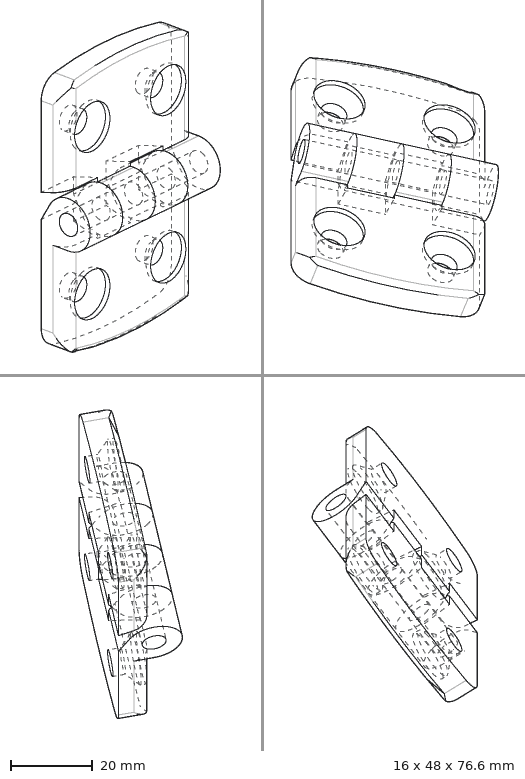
import cadquery as cq
import math

LENGTH = 76.6
WIDTH = 48.0
HALF_LENGTH = LENGTH / 2
HALF_WIDTH = WIDTH / 2

PLATE_THICKNESS = 7.8
END_ARC_RADIUS = 104.9
CORNER_RADIUS = 6.0
SIDE_FILLET = 4.0
END_FILLET = 1.4

HOLE_DIAMETER = 6.6
HEAD_DIAMETER = 13.0
HEAD_RECESS_DEPTH = 1.45
HOLE_Y = 14.0
HOLE_Z = 22.5

KNUCKLE_RADIUS = 7.05
PIN_DIAMETER = 6.0
PIN_X = 8.9
KNUCKLE_COUNT = 4
KNUCKLE_WIDTH = WIDTH / KNUCKLE_COUNT
KNUCKLE_SLOPE = math.radians(60)

SLOT_BACK_Z = 6.0
SLOT_FRONT_Z = 8.2


def arched_slab(thickness):
    """Slab on X = 0, from the pin axis down to an arched lower end."""
    sagitta = END_ARC_RADIUS - math.sqrt(END_ARC_RADIUS**2 - HALF_WIDTH**2)
    corner_z = -HALF_LENGTH + sagitta
    return (
        cq.Workplane("YZ")
        .moveTo(-HALF_WIDTH, 0)
        .lineTo(-HALF_WIDTH, corner_z)
        .threePointArc((0, -HALF_LENGTH), (HALF_WIDTH, corner_z))
        .lineTo(HALF_WIDTH, 0)
        .close()
        .extrude(thickness)
    )


def make_plate():
    """Plate with rounded corners, wide side fillets and a small end fillet that meet in mitres."""
    side_rounded = (
        cq.Workplane("XY")
        .box(PLATE_THICKNESS, WIDTH, HALF_LENGTH, centered=(False, True, False))
        .translate((0, 0, -HALF_LENGTH))
        .edges("|Z and >X")
        .fillet(SIDE_FILLET)
    )
    end_rounded = arched_slab(PLATE_THICKNESS).edges(">X").edges("<Z").fillet(END_FILLET)
    corner_rounded = arched_slab(PLATE_THICKNESS).edges("|X").edges("<Z").fillet(CORNER_RADIUS)
    return side_rounded.intersect(end_rounded).intersect(corner_rounded)


def knuckle_bands(first, profile):
    """Extrude an XZ profile over every second knuckle band, counted from -Y."""
    band = profile.extrude(-KNUCKLE_WIDTH)
    bands = cq.Workplane("XY")
    for index in range(first, KNUCKLE_COUNT, 2):
        start_y = -HALF_WIDTH + index * KNUCKLE_WIDTH
        bands = bands.add(band.translate((0, start_y, 0)))
    return bands.combine()


def slot_profile():
    """Upper end of the plate that is removed down to the sloped slot floor."""
    return (
        cq.Workplane("XZ")
        .moveTo(0, -SLOT_BACK_Z)
        .lineTo(PLATE_THICKNESS, -SLOT_FRONT_Z)
        .lineTo(PLATE_THICKNESS, 0)
        .lineTo(0, 0)
        .close()
    )


def knuckle_clearance_profile():
    """Upper end of the plate that the knuckle replaces."""
    return (
        cq.Workplane("XZ")
        .moveTo(0, -KNUCKLE_RADIUS)
        .lineTo(PLATE_THICKNESS, -KNUCKLE_RADIUS)
        .lineTo(PLATE_THICKNESS, 0)
        .lineTo(0, 0)
        .close()
    )


def knuckle_profile():
    """Eye around the pin, with a sloped back tangent to it and a square foot in the plate."""
    tangent_x = PIN_X - KNUCKLE_RADIUS * math.sin(KNUCKLE_SLOPE)
    tangent_z = KNUCKLE_RADIUS * math.cos(KNUCKLE_SLOPE)
    back_z = tangent_z - tangent_x * math.tan(KNUCKLE_SLOPE)
    return (
        cq.Workplane("XZ")
        .moveTo(0, -KNUCKLE_RADIUS)
        .lineTo(0, back_z)
        .lineTo(tangent_x, tangent_z)
        .threePointArc((PIN_X + KNUCKLE_RADIUS, 0), (PIN_X, -KNUCKLE_RADIUS))
        .close()
    )


def pin_cylinder():
    """Pin that runs the full width, flush with the outer knuckles."""
    return (
        cq.Workplane("XZ", origin=(PIN_X, -HALF_WIDTH, 0))
        .circle(PIN_DIAMETER / 2)
        .extrude(-WIDTH)
    )


def screw_hole(y):
    """Through hole with a 90 degree countersink below a straight head recess."""
    hole_radius = HOLE_DIAMETER / 2
    head_radius = HEAD_DIAMETER / 2
    cone_top = PLATE_THICKNESS - HEAD_RECESS_DEPTH
    cone_bottom = cone_top - (head_radius - hole_radius)
    return (
        cq.Workplane("XY")
        .lineTo(0, hole_radius)
        .lineTo(cone_bottom, hole_radius)
        .lineTo(cone_top, head_radius)
        .lineTo(PLATE_THICKNESS, head_radius)
        .lineTo(PLATE_THICKNESS, 0)
        .close()
        .revolve(360, (0, 0, 0), (1, 0, 0))
        .translate((0, y, -HOLE_Z))
    )


def make_leaf():
    """Lower leaf, with its knuckles in the first and third bands from -Y."""
    leaf = make_plate()
    leaf = leaf.cut(knuckle_bands(1, slot_profile()))
    leaf = leaf.cut(knuckle_bands(0, knuckle_clearance_profile()))
    leaf = leaf.union(knuckle_bands(0, knuckle_profile()))
    for y in (-HOLE_Y, HOLE_Y):
        leaf = leaf.cut(screw_hole(y))
    return leaf.cut(pin_cylinder())


pin = pin_cylinder()

leaves = []
for turn in (0, 180):
    leaves.append(make_leaf().rotate((0, 0, 0), (1, 0, 0), turn))

result = cq.Compound.makeCompound([pin.val(), *[leaf.val() for leaf in leaves]])